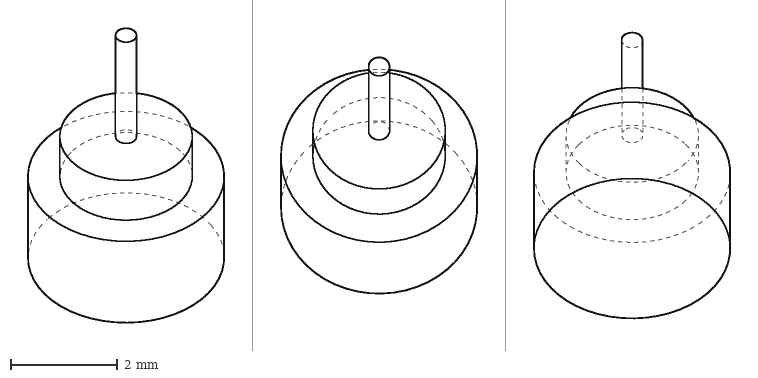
import cadquery as cq

total_height = 5.6
base_diameter = 3.7
base_height = 2.05
collar_diameter = 2.5
collar_height = 1.0
pin_diameter = 0.4
pin_height = total_height - base_height - collar_height


def add_cylinder(body, diameter, height):
    """Stack a centred cylinder on the top face of the body."""
    return body.faces(">Z").workplane().circle(diameter / 2).extrude(height)


base = cq.Workplane("XY").circle(base_diameter / 2).extrude(base_height)
base_and_collar = add_cylinder(base, collar_diameter, collar_height)
result = add_cylinder(base_and_collar, pin_diameter, pin_height)